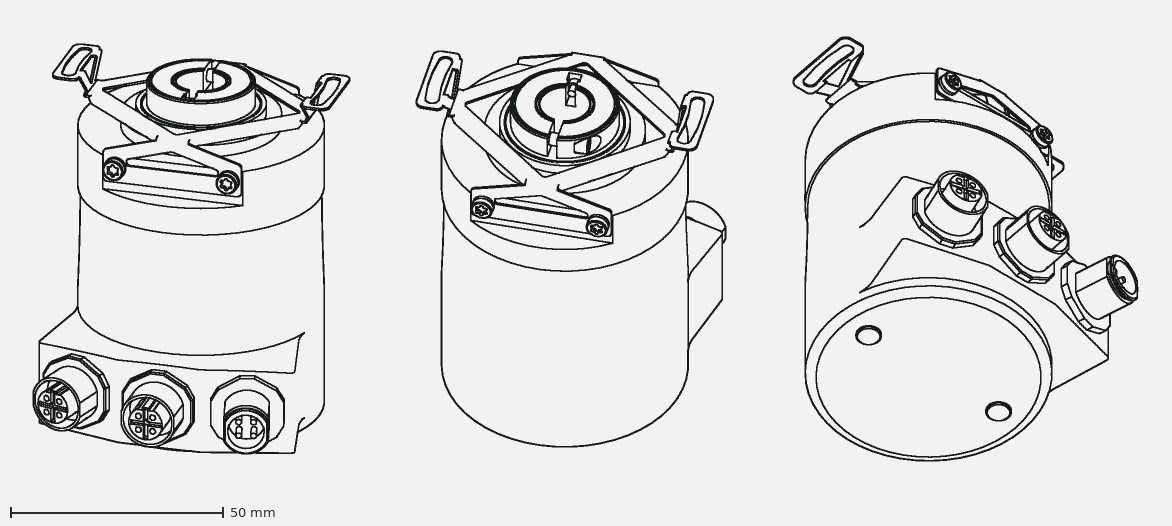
import cadquery as cq
import math

BODY_R = 29.1
FOOT_H = 0.6
FOOT_R = 3.0
FOOT_X = 19.8
FOOT_Y = -1.9
BASE_CHAMFER_H = 1.3
BASE_CHAMFER_W = 2.6
BARREL_Z0 = 31.55
BARREL_Z1 = 57.45
BARREL_MID_R = 28.6
BARREL_TOP_R = 28.5
BODY_TOP_Z = 73.0
FLAT_Y = 23.4
FLAT_Z = 64.3
DISK_R = 19.0
DISK_TOP_Z = 76.1
COLLAR_R = 15.4
COLLAR_GROOVE_R0 = 13.9
COLLAR_GROOVE_R1 = 14.3
COLLAR_TOP_Z = 78.6
COLLAR_GROOVE_DEPTH = 0.25

HUB_R = 12.8
HUB_TOP_Z = 84.5
HUB_CHAMFER = 0.3
HUB_GROOVE_R0 = 11.7
HUB_GROOVE_R1 = 12.1
HUB_GROOVE_DEPTH = 0.3
BORE_R = 5.9
BORE_DEPTH = 30.8
BORE_POINT_ANGLE = 118.0
BORE_CHAMFER = 0.25
SLEEVE_GROOVE_R0 = 6.7
SLEEVE_GROOVE_R1 = 7.0
SLIT_W = 2.3
SLIT_FLOOR_Z = COLLAR_TOP_Z
BLIND_SLIT_Y = 10.7
POCKET_W = 3.1
POCKET_L = 2.2
LOCK_HEAD_R = 1.45
LOCK_SHANK_R = 0.9
LOCK_ROOT_Y = -11.1
LOCK_HEAD_L = 2.05
LOCK_L = 4.3
CLAMP_Y = 9.75
CLAMP_Z = 81.6
CLAMP_HEAD_R = 2.2
CLAMP_POCKET_R = 2.4
CLAMP_SHANK_R = 1.5
CLAMP_SEAT_X = -5.1
CLAMP_HEAD_L = 3.0
CLAMP_SOCKET_R = 1.4
CLAMP_SOCKET_DEPTH = 1.3

LOBE_CIRCLE_RATIO = 0.8
LOBE_RATIO = 0.25

SHEET = 0.5
PLATE_TOP_Z = 79.3
PLATE_BOTTOM_Z = PLATE_TOP_Z - SHEET
PLATE_X = 27.45
PLATE_Y = FLAT_Y + SHEET
PLATE_CORNER_X = 26.25
PLATE_CORNER_Y = 23.3
PLATE_END_X = 3.9
PLATE_END_Y = 4.7
WINDOW_X = 24.7
WINDOW_Y = 21.0
WINDOW_FILLET = 1.0
LIP_H = 1.7
LIP_END_CHAMFER = 1.0
BEND_R = 0.6
BEND_OVERLAP = 1.7

EAR_W = 34.0
EAR_Z0 = 66.6
EAR_SHOULDER_Z = 74.6
EAR_SLOPE = 0.3
EAR_FILLET = 1.1
EAR_SLOT_Z = 71.1
EAR_SLOT_HALF = 11.3
EAR_SLOT_SIDE_Z = 72.8
EAR_SLOT_FILLET = 0.8
EAR_SCREW_X = 13.9
EAR_SCREW_Z = 70.45
EAR_WASHER_R = 2.6
EAR_WASHER_H = 0.7
EAR_SCREW_R = 2.5
EAR_SCREW_H = 2.3
EAR_SCREW_CHAMFER = 0.25
EAR_SOCKET_R = 1.45
EAR_SOCKET_DEPTH = 1.1

BRACKET_SPAN = 68.0
TAB_X = BRACKET_SPAN / 2
TAB_TOP_Z = 85.5
TAB_HALF = 10.1
TAB_FILLET = 2.0
TAB_INNER_FILLET = 1.4
TAB_SLOT_X = 31.1
TAB_SLOT_R = 39.3
TAB_SLOT_W = 3.25
TAB_SLOT_SWING = 9.9
LEG_FOOT_HALF = 3.25
LEG_FOOT_Z = 79.8
LEG_HEAD_HALF = 8.55
LEG_WINDOW_Z0 = 80.2
LEG_WINDOW_HALF = 4.6
LEG_WINDOW_END_X = 28.3

BLOCK_Z0 = 4.6
BLOCK_TOP_AT_BODY = 26.5
BLOCK_TOP_FALL = 0.095
BLOCK_MAX_R = 44.5
FACE_Y = -34.6
FACE_HALF = 10.1
FACE_TILT = 15.0
SIDE_FACE_L = 22.2
SIDE_BLEND_START_Y = -8.3
SIDE_BLEND_MID = (27.6, -10.3)
SIDE_BLEND_END = (27.7, -12.3)
BLOCK_CORNER_R = 1.0
FACE_BLEND_R = 1.3
CONNECTOR_Z = 15.5
CONNECTOR_OFFSET = 11.1

NUT_H = 1.8
NUT_HALF = 8.6
NUT_CORNER_HALF = 9.0
NUT_CHAMFER = 0.3
PLUG_R = 6.7
PLUG_FLAT_HALF = 6.4
PLUG_L = 9.6
PLUG_CUP_R = 6.0
CUP_DEPTH = 5.6
INSERT_R = 4.1
INSERT_L = 11.3
KEY_HALF_W = 0.8
KEY_SLOT_OUTER = 1.9
KEY_SLOT_FLOOR = 3.4
INSERT_SLOT_L = 7.35
INSERT_SLOT_W = 1.0
INSERT_SLOT_DEPTH = 1.0
PIN_PITCH = 3.5
PIN_R = 0.7
PIN_HOLE_DEPTH = 2.6
MALE_R = 6.1
MALE_FLAT_HALF = 5.2
MALE_L = 12.4
MALE_TIP_R = 5.8
MALE_GROOVE_R = 5.0
MALE_GROOVE_Z = 10.8
MALE_GROOVE_W = 0.9
MALE_TIP_CHAMFER = 0.3
MALE_CUP_R = 4.3
MALE_PIN_L = 3.85


def rod(radius, start, direction, length):
    """Cylinder from a start point along a direction."""
    return cq.Workplane(cq.Solid.makeCylinder(radius, length, cq.Vector(*start), cq.Vector(*direction)))


def box_between(x0, x1, y0, y1, z0, z1):
    """Box given by its limits along each axis."""
    return cq.Workplane("XY").box(x1 - x0, y1 - y0, z1 - z0, centered=False).translate((x0, y0, z0))


def ring_groove(inner_r, outer_r, top_z, depth):
    """Ring-shaped cutting tool sunk into a face at top_z."""
    return cq.Workplane("XY", origin=(0, 0, top_z - depth)).circle(outer_r).circle(inner_r).extrude(depth)


def lobed_socket(start, direction, radius, depth):
    """Six-lobed screw socket, used as a cutting tool."""
    plane = cq.Plane(origin=start, normal=direction)
    core_r = LOBE_CIRCLE_RATIO * radius
    core = cq.Workplane(plane).circle(core_r).extrude(depth)
    lobes = cq.Workplane(plane).polarArray(core_r, 0, 360, 6).circle(LOBE_RATIO * radius).extrude(depth)
    return core.union(lobes)


def housing():
    """Turned housing with two flats for the bracket ears and two foot screws."""
    profile = (
        cq.Workplane("XZ")
        .moveTo(0, FOOT_H)
        .lineTo(BODY_R - BASE_CHAMFER_W, FOOT_H)
        .lineTo(BODY_R, FOOT_H + BASE_CHAMFER_H)
        .lineTo(BODY_R, BARREL_Z0)
        .threePointArc((BARREL_MID_R, (BARREL_Z0 + BARREL_Z1) / 2), (BARREL_TOP_R, BARREL_Z1))
        .lineTo(BODY_R, BARREL_Z1)
        .lineTo(BODY_R, BODY_TOP_Z)
        .lineTo(DISK_R, BODY_TOP_Z)
        .lineTo(DISK_R, DISK_TOP_Z)
        .lineTo(COLLAR_R, DISK_TOP_Z)
        .lineTo(COLLAR_R, COLLAR_TOP_Z)
        .lineTo(0, COLLAR_TOP_Z)
        .close()
    )
    body = profile.revolve(360, (0, 0, 0), (0, 1, 0))
    body = body.cut(ring_groove(COLLAR_GROOVE_R0, COLLAR_GROOVE_R1, COLLAR_TOP_Z, COLLAR_GROOVE_DEPTH))
    for side in (-1, 1):
        y0, y1 = sorted((side * FLAT_Y, side * (BODY_R + 0.85)))
        body = body.cut(box_between(-BODY_R, BODY_R, y0, y1, FLAT_Z, BODY_TOP_Z))
        foot = rod(FOOT_R, (side * FOOT_X, FOOT_Y, 0), (0, 0, 1), FOOT_H + BASE_CHAMFER_H)
        body = body.union(foot.faces("<Z").chamfer(FOOT_H / 2))
    return body


def block_half_outline():
    """Outline points on the +X side: the inner and outer ends of the tilted face."""
    tilt = math.radians(FACE_TILT)
    inner = (FACE_HALF, FACE_Y)
    outer = (FACE_HALF + SIDE_FACE_L * math.cos(tilt), FACE_Y + SIDE_FACE_L * math.sin(tilt))
    return inner, outer


def connector_block():
    """Block with three connector faces and a conical top, blended into the housing."""
    inner, outer = block_half_outline()
    blend_x = math.sqrt(BODY_R**2 - SIDE_BLEND_START_Y**2)
    outline = (
        cq.Workplane("XY")
        .moveTo(blend_x, SIDE_BLEND_START_Y)
        .threePointArc(SIDE_BLEND_MID, SIDE_BLEND_END)
        .lineTo(*outer)
        .lineTo(*inner)
        .lineTo(-inner[0], inner[1])
        .lineTo(-outer[0], outer[1])
        .lineTo(-SIDE_BLEND_END[0], SIDE_BLEND_END[1])
        .threePointArc(
            (-SIDE_BLEND_MID[0], SIDE_BLEND_MID[1]),
            (-blend_x, SIDE_BLEND_START_Y),
        )
        .close()
    )
    prism = outline.extrude(BLOCK_TOP_AT_BODY + BODY_R)
    for side in (-1, 1):
        for (x, y), radius in ((outer, BLOCK_CORNER_R), (inner, FACE_BLEND_R)):
            corner = cq.selectors.NearestToPointSelector((side * x, y, BLOCK_TOP_AT_BODY))
            prism = prism.edges("|Z").edges(corner).fillet(radius)
    axis_z = BLOCK_TOP_AT_BODY + BLOCK_TOP_FALL * BODY_R
    rim_z = axis_z - BLOCK_TOP_FALL * BLOCK_MAX_R
    sloped_top = (
        cq.Workplane("XZ")
        .polyline([(0, BLOCK_Z0), (BLOCK_MAX_R, BLOCK_Z0), (BLOCK_MAX_R, rim_z), (0, axis_z)])
        .close()
        .revolve(360, (0, 0, 0), (0, 1, 0))
    )
    return prism.intersect(sloped_top)


def nut():
    """Hexagon nut with its six corners cut flat."""
    across_corners = 2 / math.cos(math.pi / 6)
    hexagon = cq.Workplane("XY").polygon(6, NUT_HALF * across_corners).extrude(NUT_H)
    hexagon = hexagon.rotate((0, 0, 0), (0, 0, 1), 30)
    corner_cut = cq.Workplane("XY").polygon(6, NUT_CORNER_HALF * across_corners).extrude(NUT_H)
    return hexagon.intersect(corner_cut)


def flatted_barrel(radius, flat_half, length):
    """Round barrel with a flat on each X side."""
    barrel = cq.Workplane("XY").circle(radius).extrude(length)
    return barrel.intersect(cq.Workplane("XY").rect(2 * flat_half, 2 * radius).extrude(length))


def four_rods(radius, z0, length):
    """Square pattern of four rods, for contact pins or the holes that take them."""
    return (
        cq.Workplane("XY", origin=(0, 0, z0))
        .rect(PIN_PITCH, PIN_PITCH, forConstruction=True)
        .vertices()
        .circle(radius)
        .extrude(length)
    )


def female_connector():
    """Cup-shaped plug around a slotted contact insert."""
    cup = cq.Workplane("XY", origin=(0, 0, PLUG_L - CUP_DEPTH)).circle(PLUG_CUP_R).extrude(CUP_DEPTH)
    rounded_nut = nut().faces(">Z").chamfer(NUT_CHAMFER)
    shell = rounded_nut.union(flatted_barrel(PLUG_R, PLUG_FLAT_HALF, PLUG_L)).cut(cup)
    insert = cq.Workplane("XY").circle(INSERT_R).extrude(INSERT_L)
    slots = (
        cq.Workplane("XY", origin=(0, 0, INSERT_L - INSERT_SLOT_DEPTH))
        .rect(INSERT_SLOT_L, INSERT_SLOT_W)
        .extrude(INSERT_SLOT_DEPTH)
    )
    insert = insert.cut(slots).cut(slots.rotate((0, 0, 0), (0, 0, 1), 90))
    key_slot = box_between(KEY_HALF_W, KEY_SLOT_OUTER, KEY_SLOT_FLOOR, INSERT_R, 0, INSERT_L)
    insert = insert.cut(key_slot).cut(key_slot.mirror("YZ"))
    centre_hole = cq.Workplane("XY", origin=(0, 0, INSERT_L - PIN_HOLE_DEPTH)).circle(PIN_R)
    insert = insert.cut(centre_hole.extrude(PIN_HOLE_DEPTH))
    insert = insert.cut(four_rods(PIN_R, INSERT_L - PIN_HOLE_DEPTH, PIN_HOLE_DEPTH))
    return shell.union(insert)


def male_connector():
    """Flatted barrel with a grooved tip and four pins inside a cup."""
    barrel = flatted_barrel(MALE_R, MALE_FLAT_HALF, MALE_GROOVE_Z)
    neck = cq.Workplane("XY").circle(MALE_GROOVE_R).extrude(MALE_L)
    tip = cq.Workplane("XY", origin=(0, 0, MALE_GROOVE_Z + MALE_GROOVE_W)).circle(MALE_TIP_R)
    tip = tip.extrude(MALE_L - MALE_GROOVE_Z - MALE_GROOVE_W)
    tip = tip.intersect(flatted_barrel(MALE_TIP_R, MALE_FLAT_HALF, MALE_L))
    tip = tip.faces(">Z").chamfer(MALE_TIP_CHAMFER)
    floor_z = MALE_L - CUP_DEPTH
    cup = cq.Workplane("XY", origin=(0, 0, floor_z)).circle(MALE_CUP_R).extrude(CUP_DEPTH)
    shell = nut().union(barrel).union(neck).union(tip).cut(cup)
    return shell.union(four_rods(PIN_R, floor_z, MALE_PIN_L))


def place_connector(connector, side):
    """Stand a connector on the middle (side 0) or on a tilted side face (-1 or +1)."""
    tilt = math.radians(FACE_TILT)
    x = side * (FACE_HALF + CONNECTOR_OFFSET * math.cos(tilt))
    y = FACE_Y + abs(side) * CONNECTOR_OFFSET * math.sin(tilt)
    return (
        connector.rotate((0, 0, 0), (1, 0, 0), 90)
        .rotate((0, 0, 0), (0, 0, 1), side * FACE_TILT)
        .translate((x, y, CONNECTOR_Z))
    )


def hub():
    """Slit clamping hub with its clamp screw and lock screw."""
    body = cq.Workplane("XY", origin=(0, 0, COLLAR_TOP_Z)).circle(HUB_R).extrude(HUB_TOP_Z - COLLAR_TOP_Z)
    body = body.faces(">Z").edges().chamfer(HUB_CHAMFER)
    rim_groove = ring_groove(HUB_GROOVE_R0, HUB_GROOVE_R1, HUB_TOP_Z, HUB_GROOVE_DEPTH)
    sleeve_groove = ring_groove(SLEEVE_GROOVE_R0, SLEEVE_GROOVE_R1, HUB_TOP_Z, HUB_GROOVE_DEPTH)
    half_slit = SLIT_W / 2
    open_slit = box_between(-half_slit, half_slit, 0, HUB_R + 0.85, SLIT_FLOOR_Z, HUB_TOP_Z)
    blind_slit = box_between(-half_slit, half_slit, -BLIND_SLIT_Y, 0, SLIT_FLOOR_Z, HUB_TOP_Z)
    slit_pocket = box_between(
        -POCKET_W / 2, POCKET_W / 2, -BLIND_SLIT_Y, POCKET_L - BLIND_SLIT_Y, SLIT_FLOOR_Z, HUB_TOP_Z
    )
    head_pocket = rod(CLAMP_POCKET_R, (CLAMP_SEAT_X, CLAMP_Y, CLAMP_Z), (-1, 0, 0), HUB_R)
    body = body.cut(rim_groove).cut(sleeve_groove)
    body = body.cut(open_slit).cut(blind_slit).cut(slit_pocket).cut(head_pocket)
    head = rod(CLAMP_HEAD_R, (CLAMP_SEAT_X, CLAMP_Y, CLAMP_Z), (-1, 0, 0), CLAMP_HEAD_L)
    head_face = (CLAMP_SEAT_X - CLAMP_HEAD_L, CLAMP_Y, CLAMP_Z)
    head = head.cut(lobed_socket(head_face, (1, 0, 0), CLAMP_SOCKET_R, CLAMP_SOCKET_DEPTH))
    shank = rod(CLAMP_SHANK_R, (CLAMP_SEAT_X, CLAMP_Y, CLAMP_Z), (1, 0, 0), -2 * CLAMP_SEAT_X)
    lock_root = (0, LOCK_ROOT_Y, CLAMP_Z)
    lock_screw = rod(LOCK_HEAD_R, lock_root, (0, 1, 0), LOCK_HEAD_L)
    lock_screw = lock_screw.union(rod(LOCK_SHANK_R, lock_root, (0, 1, 0), LOCK_L))
    return body.union(head).union(shank).union(lock_screw)


def bore():
    """Blind bore with a drill-point floor and a chamfered mouth."""
    point_h = BORE_R / math.tan(math.radians(BORE_POINT_ANGLE / 2))
    floor_z = HUB_TOP_Z - BORE_DEPTH
    return (
        cq.Workplane("XZ")
        .moveTo(0, floor_z - point_h)
        .lineTo(BORE_R, floor_z)
        .lineTo(BORE_R, HUB_TOP_Z - BORE_CHAMFER)
        .lineTo(BORE_R + BORE_CHAMFER, HUB_TOP_Z)
        .lineTo(0, HUB_TOP_Z)
        .close()
        .revolve(360, (0, 0, 0), (0, 1, 0))
    )


def bent_strip(reach, drop, width):
    """Bent sheet strip: outer corner at the origin, one leg toward -X, the other toward -Z."""
    return (
        cq.Workplane("XZ", origin=(0, width / 2, 0))
        .moveTo(-reach, 0)
        .lineTo(-BEND_R, 0)
        .radiusArc((0, -BEND_R), BEND_R)
        .lineTo(0, -drop)
        .lineTo(-SHEET, -drop)
        .lineTo(-SHEET, -SHEET)
        .lineTo(-reach, -SHEET)
        .close()
        .extrude(width)
    )


def in_four_corners(solid):
    """A solid near the (+X, +Y) corner together with its three mirror images."""
    pair = solid.union(solid.mirror("YZ"))
    return pair.union(pair.mirror("XZ"))


def bracket_plate():
    """Eight-sided plate with a diamond window and lips turned down along its slanted edges."""
    corner = [(PLATE_CORNER_X, PLATE_END_Y), (PLATE_END_X, PLATE_CORNER_Y)]
    outline = corner + [(-x, y) for x, y in reversed(corner)]
    outline += [(-x, -y) for x, y in corner] + [(x, -y) for x, y in reversed(corner)]
    plate = cq.Workplane("XY", origin=(0, 0, PLATE_BOTTOM_Z)).polyline(outline).close().extrude(SHEET)
    window = (
        cq.Workplane("XY", origin=(0, 0, PLATE_BOTTOM_Z))
        .polyline([(WINDOW_X, 0), (0, WINDOW_Y), (-WINDOW_X, 0), (0, -WINDOW_Y)])
        .close()
        .extrude(SHEET)
        .edges("|Z")
        .fillet(WINDOW_FILLET)
    )
    run_x = PLATE_CORNER_X - PLATE_END_X
    run_y = PLATE_CORNER_Y - PLATE_END_Y
    length = math.hypot(run_x, run_y)

    def on_slanted_edge(solid):
        return solid.rotate((0, 0, 0), (0, 0, 1), math.degrees(math.atan2(run_x, run_y))).translate(
            ((PLATE_CORNER_X + PLATE_END_X) / 2, (PLATE_CORNER_Y + PLATE_END_Y) / 2, PLATE_TOP_Z)
        )

    bend_room = box_between(-BEND_R, BEND_R, -length / 2, length / 2, -SHEET, 0)
    lip = bent_strip(BEND_OVERLAP, LIP_H, length).edges("|X and <Z").chamfer(LIP_END_CHAMFER)
    plate = plate.cut(window).cut(in_four_corners(on_slanted_edge(bend_room)))
    return plate.union(in_four_corners(on_slanted_edge(lip)))


def ear():
    """Screwed ear lying on the -Y flat of the housing."""
    half = EAR_W / 2
    end_z = EAR_SHOULDER_Z + EAR_SLOPE * (half - PLATE_END_X)
    right_side = [(half, EAR_Z0), (half, EAR_SHOULDER_Z), (PLATE_END_X, end_z)]
    outline = right_side + [(-x, z) for x, z in reversed(right_side)]
    plane = cq.Workplane("XZ", origin=(0, -FLAT_Y, 0))
    sheet = plane.polyline(outline).close().extrude(SHEET)
    bend = bent_strip(BEND_OVERLAP, PLATE_TOP_Z - end_z, 2 * PLATE_END_X)
    sheet = sheet.union(bend.rotate((0, 0, 0), (0, 0, 1), -90).translate((0, -PLATE_Y, PLATE_TOP_Z)))
    for x in (-half, half):
        for z in (EAR_Z0, EAR_SHOULDER_Z):
            corner = cq.selectors.NearestToPointSelector((x, -FLAT_Y - SHEET / 2, z))
            sheet = sheet.edges("|Y").edges(corner).fillet(EAR_FILLET)
    apex_z = EAR_SLOT_SIDE_Z + EAR_SLOPE * EAR_SLOT_HALF
    slot = (
        plane.polyline(
            [
                (-EAR_SLOT_HALF, EAR_SLOT_Z),
                (EAR_SLOT_HALF, EAR_SLOT_Z),
                (EAR_SLOT_HALF, EAR_SLOT_SIDE_Z),
                (0, apex_z),
                (-EAR_SLOT_HALF, EAR_SLOT_SIDE_Z),
            ]
        )
        .close()
        .extrude(SHEET)
        .edges("|Y")
        .fillet(EAR_SLOT_FILLET)
    )
    sheet = sheet.cut(slot)
    for x in (-EAR_SCREW_X, EAR_SCREW_X):
        sheet = sheet.union(ear_screw(x))
    return sheet


def ear_screw(x):
    """Washer and lobed screw head on an ear."""
    seat_y = -FLAT_Y - SHEET
    washer = rod(EAR_WASHER_R, (x, seat_y, EAR_SCREW_Z), (0, -1, 0), EAR_WASHER_H)
    head = rod(EAR_SCREW_R, (x, seat_y, EAR_SCREW_Z), (0, -1, 0), EAR_SCREW_H)
    head = head.faces("<Y").chamfer(EAR_SCREW_CHAMFER)
    socket = lobed_socket((x, seat_y - EAR_SCREW_H, EAR_SCREW_Z), (0, 1, 0), EAR_SOCKET_R, EAR_SOCKET_DEPTH)
    return washer.union(head).cut(socket)


def side_arm():
    """Upright leg on the +X side, bent outward into a slotted mounting tab."""
    tab_z = TAB_TOP_Z - SHEET
    leg_x = PLATE_X - SHEET
    tab_x = leg_x + BEND_R
    leg_h = TAB_TOP_Z - PLATE_TOP_Z
    upper = bent_strip(TAB_FILLET, leg_h, 2 * LEG_HEAD_HALF).mirror("YZ").translate((leg_x, 0, TAB_TOP_Z))
    foot = bent_strip(BEND_OVERLAP, leg_h, 2 * PLATE_END_Y)
    foot = foot.mirror("XY").translate((PLATE_X, 0, PLATE_BOTTOM_Z))
    right_edge = [
        (PLATE_END_Y, PLATE_BOTTOM_Z),
        (PLATE_END_Y, PLATE_TOP_Z),
        (LEG_FOOT_HALF, LEG_FOOT_Z),
        (LEG_HEAD_HALF, tab_z),
        (LEG_HEAD_HALF, TAB_TOP_Z),
    ]
    left_edge = [(-y, z) for y, z in reversed(right_edge)]
    sideways = cq.Workplane("YZ", origin=(leg_x - BEND_OVERLAP, 0, 0))
    leg_shape = sideways.polyline(right_edge + left_edge).close().extrude(2 * BEND_OVERLAP + TAB_FILLET)
    leg = upper.union(foot).intersect(leg_shape)
    window = (
        sideways.polyline([(0, LEG_WINDOW_Z0), (LEG_WINDOW_HALF, tab_z), (-LEG_WINDOW_HALF, tab_z)])
        .close()
        .extrude(BEND_OVERLAP + SHEET)
        .edges("|X and <Z")
        .fillet(SHEET / 2)
    )
    window_top = box_between(leg_x, LEG_WINDOW_END_X, -LEG_WINDOW_HALF, LEG_WINDOW_HALF, tab_z, TAB_TOP_Z)
    tab = box_between(tab_x, TAB_X, -TAB_HALF, TAB_HALF, tab_z, TAB_TOP_Z)
    tab = tab.edges("|Z and >X").fillet(TAB_FILLET).edges("|Z and <X").fillet(TAB_INNER_FILLET)
    return leg.union(tab).cut(window).cut(window_top).cut(curved_slot(tab_z))


def curved_slot(z0):
    """Round-ended slot bowed outward, away from the housing axis."""
    swing = math.radians(TAB_SLOT_SWING)
    r_in = TAB_SLOT_R - TAB_SLOT_W / 2
    r_out = TAB_SLOT_R + TAB_SLOT_W / 2

    def at(radius, angle):
        return radius * math.cos(angle), radius * math.sin(angle)

    end_turn = math.asin(TAB_SLOT_W / 2 / TAB_SLOT_R)
    return (
        cq.Workplane("XY", origin=(TAB_SLOT_X - TAB_SLOT_R, 0, z0))
        .moveTo(*at(r_in, -swing))
        .threePointArc(at(r_in, 0), at(r_in, swing))
        .threePointArc(at(TAB_SLOT_R, swing + end_turn), at(r_out, swing))
        .threePointArc(at(r_out, 0), at(r_out, -swing))
        .threePointArc(at(TAB_SLOT_R, -swing - end_turn), at(r_in, -swing))
        .close()
        .extrude(SHEET)
    )


def bracket():
    """Complete sheet bracket: plate, two ears and two side arms."""
    front_ear = ear()
    right_arm = side_arm()
    sheet = bracket_plate()
    sheet = sheet.union(front_ear).union(front_ear.mirror("XZ"))
    return sheet.union(right_arm).union(right_arm.mirror("YZ"))


part = housing().union(connector_block()).union(hub()).cut(bore())
part = part.union(place_connector(female_connector(), -1))
part = part.union(place_connector(female_connector(), 0))
part = part.union(place_connector(male_connector(), 1))
result = part.union(bracket())